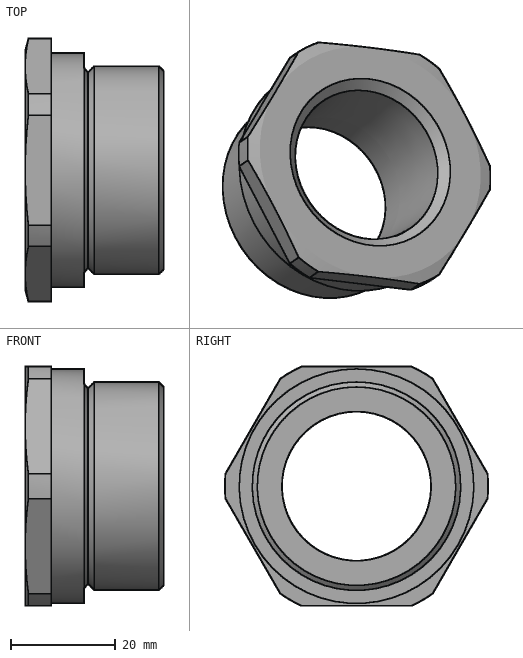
import cadquery as cq
import math

across_flats = 46.0
across_corners = 50.6
head_length = 5.0
head_chamfer_angle = 15.0

overall_length = 26.6
collar_diameter = 45.0
collar_end = 11.35
groove_shoulder_radius = 19.6
groove_floor_radius = 18.85
groove_floor_start = 12.0
groove_floor_end = 12.15
spigot_diameter = 40.0
spigot_chamfer = 0.95

mouth_diameter = 33.35
bore_entry_diameter = 29.65
bore_exit_diameter = 28.6
mouth_depth = 1.8
taper_end = 19.45


def revolve_about_x(profile_points):
    """Revolve a closed (x, radius) outline around the X axis."""
    outline = cq.Workplane("XZ").polyline(profile_points).close()
    return outline.revolve(360, (0, 0, 0), (1, 0, 0))


def hex_head():
    """Hexagon with flats on +/-Z, turned at the corners and chamfered at the front."""
    sharp_corner_diameter = across_flats / math.cos(math.radians(30))
    hexagon = cq.Workplane("YZ").polygon(6, sharp_corner_diameter).extrude(head_length)
    face_radius = across_flats / 2
    corner_radius = across_corners / 2
    chamfer_depth = (corner_radius - face_radius) * math.tan(math.radians(head_chamfer_angle))
    turned_blank = revolve_about_x([
        (0, 0),
        (0, face_radius),
        (chamfer_depth, corner_radius),
        (head_length, corner_radius),
        (head_length, 0),
    ])
    return hexagon.intersect(turned_blank)


def stepped_body():
    """Collar, undercut groove with 45 degree run-out, and chamfered spigot."""
    collar_radius = collar_diameter / 2
    spigot_radius = spigot_diameter / 2
    spigot_start = groove_floor_end + spigot_radius - groove_floor_radius
    return revolve_about_x([
        (head_length, 0),
        (head_length, collar_radius),
        (collar_end, collar_radius),
        (collar_end, groove_shoulder_radius),
        (groove_floor_start, groove_floor_radius),
        (groove_floor_end, groove_floor_radius),
        (spigot_start, spigot_radius),
        (overall_length - spigot_chamfer, spigot_radius),
        (overall_length, spigot_radius - spigot_chamfer),
        (overall_length, 0),
    ])


def bore():
    """Countersunk mouth, gentle taper, then a straight run to the far end."""
    return revolve_about_x([
        (0, 0),
        (0, mouth_diameter / 2),
        (mouth_depth, bore_entry_diameter / 2),
        (taper_end, bore_exit_diameter / 2),
        (overall_length, bore_exit_diameter / 2),
        (overall_length, 0),
    ])


result = hex_head().union(stepped_body()).cut(bore())